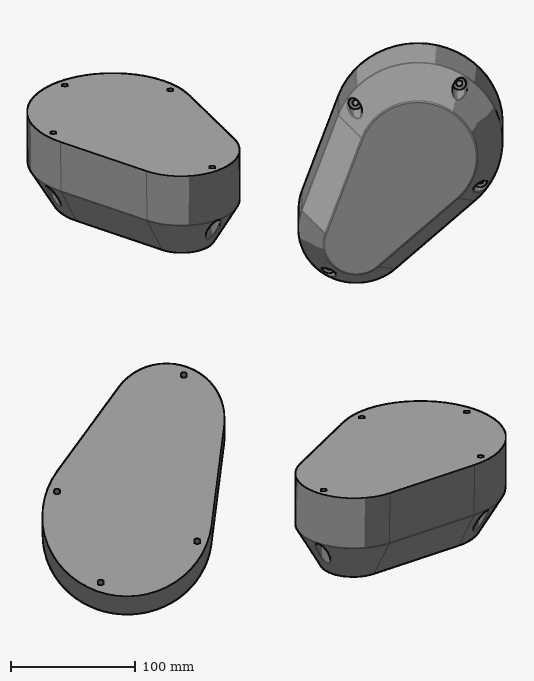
import cadquery as cq
import math

body_length = 204.9
large_radius = 68.4
small_radius = 46.8
end_spacing = body_length - large_radius - small_radius

total_height = 79.9
wall_height = 44.3
taper_height = total_height - wall_height
taper_angle = 30
tilt_angle = 0.5

bottom_edge_radius = 1.5
wall_edge_radius = 1.6
selection_margin = 0.2

hole_diameter = 5.0
head_bore_diameter = 11.0
large_end_inset = 8.0
small_end_inset = 7.4
rim_radius = 0.8
large_offset = large_radius - large_end_inset
small_offset = end_spacing + small_radius - small_end_inset
hole_positions = [
    (-large_offset, 0),
    (0, large_offset),
    (0, -large_offset),
    (small_offset, 0),
]


def teardrop(plane):
    """Outline centred on the large end, with the small end towards +X."""
    tangent_sine = (large_radius - small_radius) / end_spacing
    tangent_cosine = math.sqrt(1 - tangent_sine**2)
    large_x = large_radius * tangent_sine
    large_y = large_radius * tangent_cosine
    small_x = end_spacing + small_radius * tangent_sine
    small_y = small_radius * tangent_cosine
    return (
        plane.moveTo(large_x, large_y)
        .threePointArc((-large_radius, 0), (large_x, -large_y))
        .lineTo(small_x, -small_y)
        .threePointArc((end_spacing + small_radius, 0), (small_x, small_y))
        .close()
    )


def make_body():
    """Upright wall above a side that tapers inwards to the bottom face."""
    wall_plane = cq.Workplane("XY").workplane(offset=-wall_height)
    wall = teardrop(wall_plane).extrude(wall_height)
    taper = teardrop(wall_plane).extrude(-taper_height, taper=taper_angle)
    body = wall.union(taper)
    body = body.faces("<Z").edges().fillet(bottom_edge_radius)
    junction_band = cq.selectors.BoxSelector(
        (-body_length, -body_length, -wall_height - selection_margin),
        (body_length, body_length, -wall_height + selection_margin),
    )
    return body.edges(junction_band).fillet(wall_edge_radius)


def cut_screw_holes(body):
    """Bore the screw heads from below, round their rims, then drill through."""
    head_bores = (
        cq.Workplane("XY")
        .workplane(offset=-total_height)
        .pushPoints(hole_positions)
        .circle(head_bore_diameter / 2)
        .extrude(taper_height)
    )
    body = body.cut(head_bores)
    reach = head_bore_diameter / 2 + selection_margin
    for x, y in hole_positions:
        rim_zone = cq.selectors.BoxSelector(
            (x - reach, y - reach, -total_height),
            (x + reach, y + reach, -wall_height - selection_margin),
            boundingbox=True,
        )
        body = body.edges(rim_zone).edges("not |Z").fillet(rim_radius)
    screw_holes = (
        cq.Workplane("XY")
        .pushPoints(hole_positions)
        .circle(hole_diameter / 2)
        .extrude(-total_height)
    )
    return body.cut(screw_holes)


result = cut_screw_holes(make_body()).rotate((0, 0, 0), (0, 1, 0), -tilt_angle)